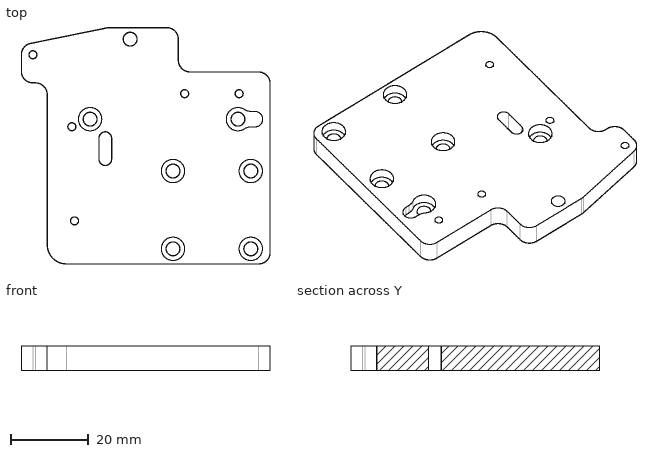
import cadquery as cq
import math

LENGTH = 64.0
WIDTH = 60.81
THICKNESS = 6.35

BODY_LEFT = 6.65
TAB_BOTTOM = 46.55
STEP_X = 40.4
STEP_Y = 49.4

CORNER_RADIUS = 3.0
LARGE_CORNER_RADIUS = 5.0

EAR_DROP = 7.0
TOP_ARC_X = 22.7
EAR_CENTER = (CORNER_RADIUS, WIDTH - EAR_DROP)
TOP_ARC_CENTER = (TOP_ARC_X, WIDTH - CORNER_RADIUS)

SCREW_DIAMETER = 3.5
COUNTERBORE_DIAMETER = 6.0
COUNTERBORE_DEPTH = 3.0
SCREW_GRID_COUNT = 2
SCREW_PITCH = 20.0
SCREW_GRID_INSET = 5.0
SCREW_GRID_RIGHT = LENGTH - SCREW_GRID_INSET
SCREW_GRID_BOTTOM = 3.92
UPPER_SCREW_Y = 37.25
UPPER_SCREW_LEFT = 17.7
UPPER_SCREW_PITCH = 38.0

RELIEF_WIDTH = 4.0
RELIEF_END_X = 62.05
RELIEF_BLEND_RADIUS = 3.0

PIN_DIAMETER = 2.0
PIN_POINTS = [
    EAR_CENTER,
    (13.0, 35.3),
    (13.7, 11.1),
    (42.0, 43.8),
    (56.0, 43.8),
]
TOP_HOLE_X = 28.0
TOP_HOLE_INSET = 3.0
TOP_HOLE_POINT = (TOP_HOLE_X, WIDTH - TOP_HOLE_INSET)

SLOT_WIDTH = 3.2
SLOT_LENGTH = 8.6
SLOT_CENTER = (21.6, 29.67)


def point_on_arc(center, angle):
    """Point at the given angle on a corner-radius arc."""
    return (
        center[0] + CORNER_RADIUS * math.cos(angle),
        center[1] + CORNER_RADIUS * math.sin(angle),
    )


def vertical_edge_at(x, y, middle_z):
    """Selector for the vertical edge whose midpoint is nearest (x, y, middle_z)."""
    return cq.selectors.NearestToPointSelector((x, y, middle_z))


def make_plate():
    slope = math.atan2(TOP_ARC_CENTER[1] - EAR_CENTER[1], TOP_ARC_CENTER[0] - EAR_CENTER[0])
    normal = math.pi / 2 + slope
    plate = (
        cq.Workplane("XY")
        .moveTo(BODY_LEFT, 0)
        .lineTo(LENGTH, 0)
        .lineTo(LENGTH, STEP_Y)
        .lineTo(STEP_X, STEP_Y)
        .lineTo(STEP_X, WIDTH)
        .lineTo(TOP_ARC_CENTER[0], WIDTH)
        .threePointArc(
            point_on_arc(TOP_ARC_CENTER, math.pi / 2 + slope / 2),
            point_on_arc(TOP_ARC_CENTER, normal),
        )
        .lineTo(*point_on_arc(EAR_CENTER, normal))
        .threePointArc(
            point_on_arc(EAR_CENTER, (normal + math.pi) / 2),
            point_on_arc(EAR_CENTER, math.pi),
        )
        .lineTo(0, TAB_BOTTOM)
        .lineTo(BODY_LEFT, TAB_BOTTOM)
        .close()
        .extrude(THICKNESS)
    )
    corners = [
        (BODY_LEFT, 0, LARGE_CORNER_RADIUS),
        (LENGTH, 0, CORNER_RADIUS),
        (LENGTH, STEP_Y, CORNER_RADIUS),
        (STEP_X, STEP_Y, CORNER_RADIUS),
        (STEP_X, WIDTH, CORNER_RADIUS),
        (0, TAB_BOTTOM, CORNER_RADIUS),
        (BODY_LEFT, TAB_BOTTOM, CORNER_RADIUS),
    ]
    for x, y, radius in corners:
        plate = plate.edges("|Z").edges(vertical_edge_at(x, y, THICKNESS / 2)).fillet(radius)
    return plate


def through_holes(points, diameter):
    return cq.Workplane("XY").pushPoints(points).circle(diameter / 2).extrude(THICKNESS)


def counterbores(points):
    return (
        cq.Workplane("XY", origin=(0, 0, THICKNESS))
        .pushPoints(points)
        .circle(COUNTERBORE_DIAMETER / 2)
        .extrude(-COUNTERBORE_DEPTH)
    )


def keyhole_counterbore(center):
    """Counterbore blended into a round-ended pocket of the same depth running toward +X."""
    half_width = RELIEF_WIDTH / 2
    length = RELIEF_END_X - center[0] + half_width
    relief = (
        cq.Workplane("XY", origin=(0, 0, THICKNESS))
        .center(RELIEF_END_X - length / 2, center[1])
        .slot2D(length, RELIEF_WIDTH)
        .extrude(-COUNTERBORE_DEPTH)
    )
    keyhole = counterbores([center]).union(relief)
    neck_x = center[0] + math.sqrt((COUNTERBORE_DIAMETER / 2) ** 2 - half_width**2)
    neck_z = THICKNESS - COUNTERBORE_DEPTH / 2
    for side in (-1, 1):
        neck_edge = vertical_edge_at(neck_x, center[1] + side * half_width, neck_z)
        keyhole = keyhole.edges("|Z").edges(neck_edge).fillet(RELIEF_BLEND_RADIUS)
    return keyhole


def through_slot():
    return (
        cq.Workplane("XY")
        .center(*SLOT_CENTER)
        .slot2D(SLOT_LENGTH, SLOT_WIDTH, angle=90)
        .extrude(THICKNESS)
    )


grid_screws = [
    (SCREW_GRID_RIGHT - column * SCREW_PITCH, SCREW_GRID_BOTTOM + row * SCREW_PITCH)
    for column in range(SCREW_GRID_COUNT)
    for row in range(SCREW_GRID_COUNT)
]
upper_left_screw = (UPPER_SCREW_LEFT, UPPER_SCREW_Y)
keyhole_screw = (UPPER_SCREW_LEFT + UPPER_SCREW_PITCH, UPPER_SCREW_Y)
round_screws = grid_screws + [upper_left_screw]
screws = round_screws + [keyhole_screw]

result = (
    make_plate()
    .cut(through_holes(screws + [TOP_HOLE_POINT], SCREW_DIAMETER))
    .cut(through_holes(PIN_POINTS, PIN_DIAMETER))
    .cut(counterbores(round_screws))
    .cut(keyhole_counterbore(keyhole_screw))
    .cut(through_slot())
)